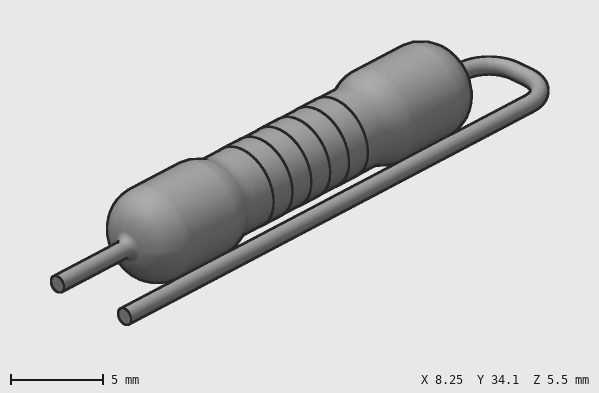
import cadquery as cq
import math

TOTAL_LENGTH = 34.1
LEAD_DIAMETER = 1.0
LEAD_SPACING = 5.0
STRAIGHT_LEAD = 5.0
BEND_RADIUS = 2.0

CAP_DIAMETER = 5.5
CORE_DIAMETER = 4.67
BAND_DIAMETER = 4.7
BODY_CENTER = 18.1
NECK_FILLET = 0.5
DOME_RADIUS = 2.0
CAP_LENGTH = 3.8
CORE_LENGTH = 10.3
SEGMENT_COUNT = 7

lead_radius = LEAD_DIAMETER / 2
cap_radius = CAP_DIAMETER / 2
core_radius = CORE_DIAMETER / 2
neck_radius = lead_radius + NECK_FILLET
segment_length = CORE_LENGTH / SEGMENT_COUNT
core_start = BODY_CENTER - CORE_LENGTH / 2

dome_center_radius = cap_radius - DOME_RADIUS
center_gap = DOME_RADIUS + NECK_FILLET
center_rise = math.sqrt(center_gap**2 - (neck_radius - dome_center_radius) ** 2)
neck_angle = -math.degrees(math.acos((neck_radius - dome_center_radius) / center_gap))
cap_start = STRAIGHT_LEAD + center_rise
cap_end = cap_start + CAP_LENGTH

half_length = (core_start - cap_end) / 2
half_step = (cap_radius - core_radius) / 2
shoulder_arc_radius = (half_length**2 + half_step**2) / (2 * half_step)

body_end = 2 * BODY_CENTER - STRAIGHT_LEAD
bend_start = TOTAL_LENGTH - lead_radius - BEND_RADIUS
bend_top = bend_start + BEND_RADIUS


def arc_point(center, radius, angle):
    """Point on a circle at an angle in degrees."""
    turn = math.radians(angle)
    return (center[0] + radius * math.cos(turn), center[1] + radius * math.sin(turn))


def add_arc(sketch, center, radius, start_angle, end_angle):
    """Extend a sketch along an arc that begins at its current point."""
    middle = arc_point(center, radius, (start_angle + end_angle) / 2)
    return sketch.threePointArc(middle, arc_point(center, radius, end_angle))


def make_body_half():
    """Revolve one domed cap, its shoulder and half of the core about Y."""
    neck_center = (neck_radius, STRAIGHT_LEAD)
    dome_center = (dome_center_radius, cap_start)
    shoulder_angle = math.degrees(math.asin(half_length / shoulder_arc_radius))
    outer_center = (cap_radius - shoulder_arc_radius, cap_end)
    inner_center = (core_radius + shoulder_arc_radius, core_start)

    profile = cq.Workplane("XY").moveTo(0, STRAIGHT_LEAD).lineTo(lead_radius, STRAIGHT_LEAD)
    profile = add_arc(profile, neck_center, NECK_FILLET, 180, 180 + neck_angle)
    profile = add_arc(profile, dome_center, DOME_RADIUS, neck_angle, 0)
    profile = profile.lineTo(cap_radius, cap_end)
    profile = add_arc(profile, outer_center, shoulder_arc_radius, 0, shoulder_angle)
    profile = add_arc(profile, inner_center, shoulder_arc_radius, 180 + shoulder_angle, 180)
    profile = profile.lineTo(core_radius, BODY_CENTER).lineTo(0, BODY_CENTER).close()
    return profile.revolve(360, (0, 0, 0), (0, 1, 0))


def make_cylinder(diameter, start_y, length):
    """Cylinder on the body axis, growing toward +Y."""
    return cq.Workplane("XZ", origin=(0, start_y, 0)).circle(diameter / 2).extrude(-length)


def make_bent_lead():
    """Sweep the lead from the far body end, over two bends, back to Y = 0."""
    near_center = (BEND_RADIUS, bend_start)
    far_center = (LEAD_SPACING - BEND_RADIUS, bend_start)
    path = cq.Workplane("XY").moveTo(0, body_end).lineTo(0, bend_start)
    path = add_arc(path, near_center, BEND_RADIUS, 180, 90)
    path = path.lineTo(far_center[0], bend_top)
    path = add_arc(path, far_center, BEND_RADIUS, 90, 0)
    path = path.lineTo(LEAD_SPACING, 0)
    return cq.Workplane("XZ", origin=(0, body_end, 0)).circle(lead_radius).sweep(path)


body_half = make_body_half()
body = body_half.union(body_half.mirror("XZ", (0, BODY_CENTER, 0)))
for segment in range(1, SEGMENT_COUNT, 2):
    band_start = core_start + segment * segment_length
    body = body.union(make_cylinder(BAND_DIAMETER, band_start, segment_length))

straight_lead = make_cylinder(LEAD_DIAMETER, 0, STRAIGHT_LEAD)
result = body.union(straight_lead).union(make_bent_lead())